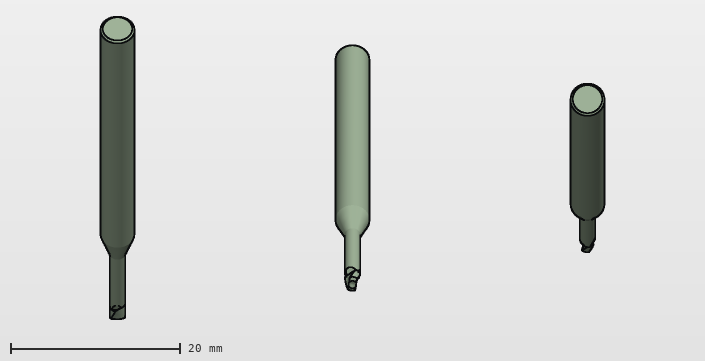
import cadquery as cq

total_length = 55.0
shank_radius = 2.01
neck_radius = 0.95
taper_top_z = 15.75
taper_bottom_z = 12.05
chamfer_width = 0.3
chamfer_height = 0.2

head_length = 2.1
tip_radius = 0.5
end_dish = 0.15
corner_rise = 0.15

web_thickness = 0.9
web_tip_angle = 30.0
web_twist = 46.0

inner_facet_depth = neck_radius - web_thickness / 2
inner_facet_height = 0.6
outer_facet_depth = 0.3
outer_facet_height = 1.2
outer_facet_azimuth = -65.0
wedge_overlap = 0.55


def revolve_about_z(profile):
    """Revolve (radius, height) points about Z, with the seam on the -Y side."""
    solid = cq.Workplane("XZ").polyline(profile).close().revolve(360, (0, 0), (0, 1))
    return solid.rotate((0, 0, 0), (0, 0, 1), -90)


def runout_cutter(depth, height, azimuth):
    """Wedge that cuts to the given depth at the neck's end and slopes out to its surface."""
    inner = neck_radius - depth
    outer = shank_radius
    below = head_length - wedge_overlap
    profile = [
        (inner, below),
        (inner, head_length),
        (outer, head_length + (outer - inner) * height / depth),
        (outer, below),
    ]
    wedge = cq.Workplane("XZ").polyline(profile).close().extrude(shank_radius, both=True)
    return wedge.rotate((0, 0, 0), (0, 0, 1), azimuth)


def make_shank():
    """Chamfered shank, taper and neck, with a two-facet flute run-out on each side."""
    body = revolve_about_z([
        (0, head_length),
        (neck_radius, head_length),
        (neck_radius, taper_bottom_z),
        (shank_radius, taper_top_z),
        (shank_radius, total_length - chamfer_height),
        (shank_radius - chamfer_width, total_length),
        (0, total_length),
    ])
    inner_facet_azimuth = web_tip_angle + web_twist - 90
    for half_turn in (0, 180):
        body = body.cut(runout_cutter(
            inner_facet_depth, inner_facet_height, inner_facet_azimuth + half_turn))
        body = body.cut(runout_cutter(
            outer_facet_depth, outer_facet_height, outer_facet_azimuth + half_turn))
    return body


def make_cutting_head():
    """Twisted web trimmed to the dished end and the cutting diameter."""
    envelope = revolve_about_z([
        (0, end_dish),
        (tip_radius, 0),
        (neck_radius, corner_rise),
        (neck_radius, head_length),
        (0, head_length),
    ])
    web = (
        cq.Workplane("XY")
        .rect(2 * shank_radius, web_thickness)
        .twistExtrude(head_length, web_twist)
        .rotate((0, 0, 0), (0, 0, 1), web_tip_angle)
    )
    return envelope.intersect(web)


shank = make_shank()
cutting_head = make_cutting_head()

result = cq.Compound.makeCompound([shank.val(), cutting_head.val()])